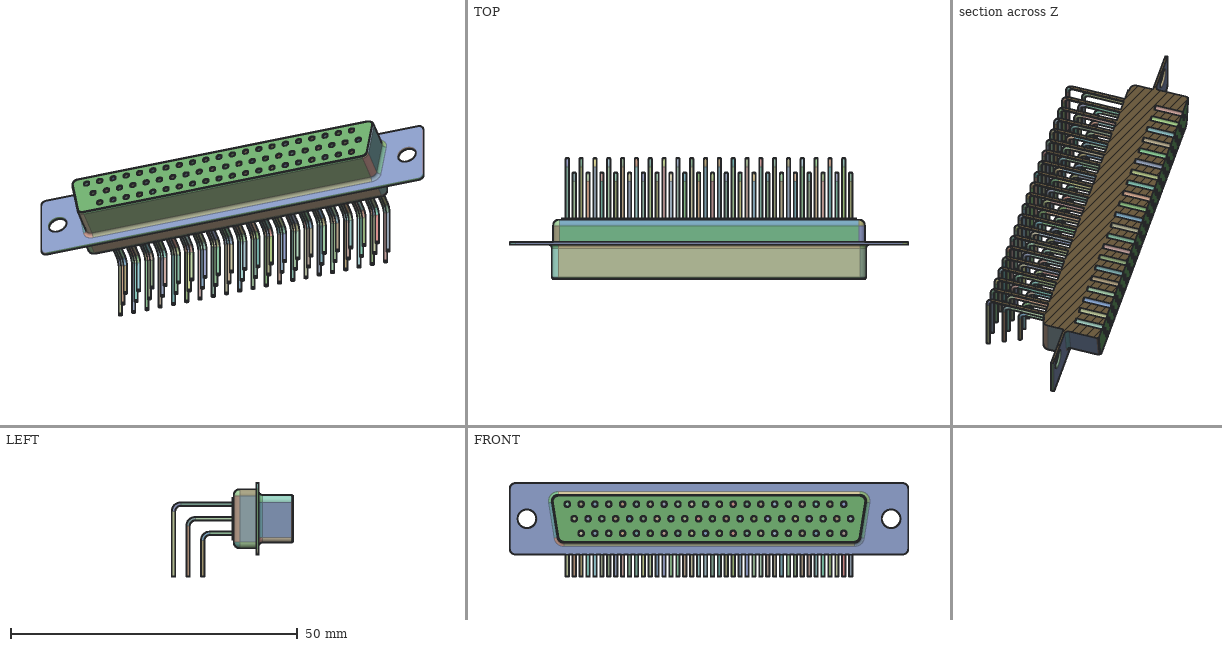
import cadquery as cq
import math


FLANGE_WIDTH = 69.5
FLANGE_HEIGHT = 12.5
FLANGE_THICKNESS = 0.5
FLANGE_CORNER_RADIUS = 1.0
FLANGE_EDGE_RADIUS = 0.1
MOUNT_HOLE_DIAMETER = 3.2
MOUNT_HOLE_SPACING = 63.5

SHELL_WIDTH = 54.84
SHELL_HEIGHT = 8.36
SHELL_LENGTH = 6.0
SHELL_SIDE_ANGLE = 9.0
SHELL_CORNER_RADIUS = 1.1
SHELL_RIM_RADIUS = 0.2
SHELL_ROOT_RADIUS = 0.6

HOUSING_WIDTH = 54.4
HOUSING_HEIGHT = 10.3
HOUSING_LENGTH = 3.9
HOUSING_CORNER_RADIUS = 1.1
HOUSING_REAR_RADIUS = 1.05

INSERT_PROTRUSION = 0.2
REAR_INSERT_INSET = 1.5

CONTACT_PITCH = 2.41
ROW_PITCH = 2.54
ROW_SHIFT = CONTACT_PITCH / 4
CONTACT_ROWS = [(21, -ROW_SHIFT), (21, ROW_SHIFT), (20, ROW_SHIFT)]
SOCKET_DIAMETER = 0.85
SOCKET_DEPTH = 5.0
SOCKET_CHAMFER = 0.1

PIN_DIAMETER = 0.64
PIN_BEND_RADIUS = 1.25
PIN_TIP_CHAMFER = 0.1
PIN_EMBED = 1.0
OVERALL_LENGTH = 21.2
OVERALL_HEIGHT = 16.4

HOUSING_REAR_Y = FLANGE_THICKNESS + HOUSING_LENGTH
PIN_REAR_Y = OVERALL_LENGTH - SHELL_LENGTH - PIN_DIAMETER / 2
PIN_TIP_Z = FLANGE_HEIGHT / 2 - OVERALL_HEIGHT


def plane_at(y):
    """Plane parallel to XZ at the given Y, with its normal toward -Y."""
    return cq.Workplane("XZ", origin=(0, y, 0))


def row_height(row):
    """Z of a contact row; the middle row lies on the X axis."""
    return (1 - row) * ROW_PITCH


def contact_positions(row):
    """X positions of the contacts in one row."""
    count, middle = CONTACT_ROWS[row]
    return [middle + (i - (count - 1) / 2) * CONTACT_PITCH for i in range(count)]


def make_flange():
    """Rounded plate with two mounting holes; every face edge is slightly eased."""
    half_spacing = MOUNT_HOLE_SPACING / 2
    plate = (
        plane_at(FLANGE_THICKNESS)
        .rect(FLANGE_WIDTH, FLANGE_HEIGHT)
        .extrude(FLANGE_THICKNESS)
        .edges("|Y")
        .fillet(FLANGE_CORNER_RADIUS)
    )
    holes = (
        plane_at(FLANGE_THICKNESS)
        .pushPoints([(-half_spacing, 0), (half_spacing, 0)])
        .circle(MOUNT_HOLE_DIAMETER / 2)
        .extrude(FLANGE_THICKNESS)
    )
    return plate.cut(holes).faces("<Y or >Y").edges().fillet(FLANGE_EDGE_RADIUS)


def make_shell():
    """D-shaped plug, wider at the top, with a rounded front rim."""
    angle = math.radians(SHELL_SIDE_ANGLE)
    top = SHELL_HEIGHT / 2
    corner_setback = SHELL_CORNER_RADIUS * math.tan(math.pi / 4 + angle / 2)
    half_top = SHELL_WIDTH / 2 - SHELL_CORNER_RADIUS + corner_setback
    half_bottom = half_top - SHELL_HEIGHT * math.tan(angle)
    outline = [(-half_top, top), (half_top, top), (half_bottom, -top), (-half_bottom, -top)]
    shell = (
        plane_at(0)
        .polyline(outline)
        .close()
        .extrude(SHELL_LENGTH - INSERT_PROTRUSION)
        .edges("|Y")
        .fillet(SHELL_CORNER_RADIUS)
        .faces("<Y")
        .edges()
        .fillet(SHELL_RIM_RADIUS)
    )
    insert = shell.faces("<Y").wires().toPending().workplane().extrude(INSERT_PROTRUSION, combine=False)
    return shell.union(insert, clean=False)


def round_shell_root(body):
    """Fillet where the shell meets the flange face."""
    margin = FLANGE_EDGE_RADIUS / 2
    half_width = SHELL_WIDTH / 2 + margin
    half_height = SHELL_HEIGHT / 2 + margin
    root_zone = cq.selectors.BoxSelector(
        (-half_width, -margin, -half_height),
        (half_width, margin, half_height),
    )
    return body.edges(root_zone).fillet(SHELL_ROOT_RADIUS)


def make_housing():
    return (
        plane_at(HOUSING_REAR_Y)
        .rect(HOUSING_WIDTH, HOUSING_HEIGHT)
        .extrude(HOUSING_LENGTH)
        .edges("|Y")
        .fillet(HOUSING_CORNER_RADIUS)
        .faces(">Y")
        .edges()
        .fillet(HOUSING_REAR_RADIUS)
    )


def make_rear_insert():
    """Rear face of the insert, standing slightly proud of the housing."""
    return (
        plane_at(HOUSING_REAR_Y + INSERT_PROTRUSION)
        .rect(HOUSING_WIDTH - 2 * REAR_INSERT_INSET, HOUSING_HEIGHT - 2 * REAR_INSERT_INSET)
        .extrude(INSERT_PROTRUSION)
    )


def cut_sockets(body):
    points = [(x, row_height(row)) for row in range(len(CONTACT_ROWS)) for x in contact_positions(row)]
    sockets = (
        plane_at(SOCKET_DEPTH - SHELL_LENGTH)
        .pushPoints(points)
        .circle(SOCKET_DIAMETER / 2)
        .extrude(SOCKET_DEPTH)
    )
    countersinks = (
        plane_at(SOCKET_CHAMFER - SHELL_LENGTH)
        .pushPoints(points)
        .circle(SOCKET_DIAMETER / 2)
        .extrude(SOCKET_CHAMFER, taper=-45)
    )
    return body.cut(sockets).cut(countersinks)


def make_pin(row):
    """Pin at X = 0 that leaves the housing rearward and bends down to its tip."""
    z = row_height(row)
    y = PIN_REAR_Y - row * ROW_PITCH
    start_y = HOUSING_REAR_Y - PIN_EMBED
    arc_inset = PIN_BEND_RADIUS * (1 - math.sqrt(0.5))
    path = (
        cq.Workplane("YZ")
        .moveTo(start_y, z)
        .lineTo(y - PIN_BEND_RADIUS, z)
        .threePointArc((y - arc_inset, z - arc_inset), (y, z - PIN_BEND_RADIUS))
        .lineTo(y, PIN_TIP_Z)
    )
    pin = cq.Workplane("XZ", origin=(0, start_y, z)).circle(PIN_DIAMETER / 2).sweep(path)
    return pin.faces("<Z").edges().chamfer(PIN_TIP_CHAMFER)


def add_pins(body):
    pins = []
    for row in range(len(CONTACT_ROWS)):
        pin = make_pin(row).val()
        pins += [pin.translate(cq.Vector(x, 0, 0)) for x in contact_positions(row)]
    return cq.Workplane(body.val().fuse(*pins)).solids()


result = round_shell_root(make_flange().union(make_shell()))
result = result.union(make_housing()).union(make_rear_insert())
result = cut_sockets(result)
result = add_pins(result)